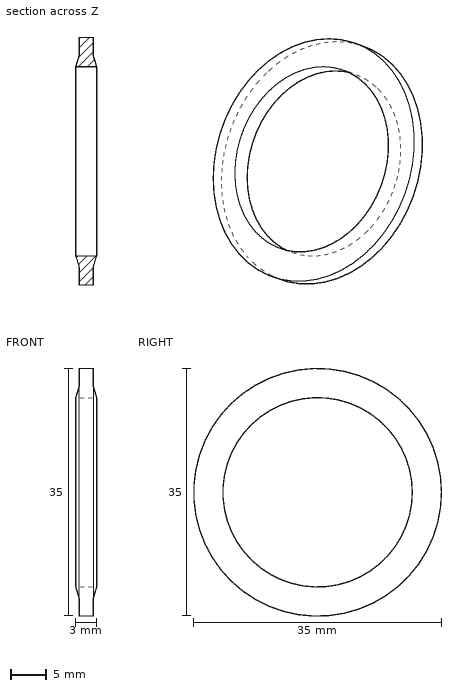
import cadquery as cq

outer_diameter = 35.0
cone_base_diameter = 30.0
bore_diameter = 26.7
rim_thickness = 2.0
bore_length = 3.0

outer_radius = outer_diameter / 2
cone_base_radius = cone_base_diameter / 2
bore_radius = bore_diameter / 2
half_rim = rim_thickness / 2
half_bore = bore_length / 2


def ring_section():
    """Half cross-section in the XY plane: X along the axis, Y as the radius."""
    return (
        cq.Workplane("XY")
        .moveTo(-half_bore, bore_radius)
        .lineTo(half_bore, bore_radius)
        .lineTo(half_rim, cone_base_radius)
        .lineTo(half_rim, outer_radius)
        .lineTo(-half_rim, outer_radius)
        .lineTo(-half_rim, cone_base_radius)
        .close()
    )


result = ring_section().revolve(360, (0, 0, 0), (1, 0, 0))